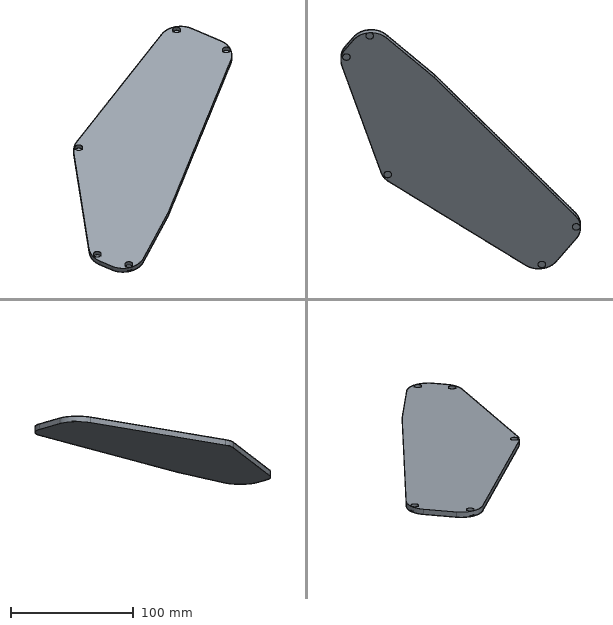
import cadquery as cq

length = 260.5
thickness = 4.7
corner_radius = 18.0

top_right_x = 59.6
left_corner_y = 98.7
bottom_left_x = 73.7
bottom_right_x = 114.8
kink_x = 103.6
kink_y = 74.7

hole_diameter = 6.2
hole_depth = 4.0
hole_centers = [(8.0, 252.8), (54.2, 254.0), (4.7, 100.0), (77.0, 5.5), (105.0, 8.5)]


def make_plate():
    """Six-sided plate, rounded everywhere except at the shallow kink on its right side."""
    corners = [
        (0, left_corner_y),
        (0, length),
        (top_right_x, length),
        (kink_x, kink_y),
        (bottom_right_x, 0),
        (bottom_left_x, 0),
    ]
    plate = cq.Workplane("XY").polyline(corners).close().extrude(thickness)
    kink_edge = cq.selectors.NearestToPointSelector((kink_x, kink_y, thickness / 2))
    upright_edges = cq.selectors.ParallelDirSelector(cq.Vector(0, 0, 1))
    rounded_edges = cq.selectors.SubtractSelector(upright_edges, kink_edge)
    return plate.edges(rounded_edges).fillet(corner_radius)


def make_holes():
    """Tools for the blind holes sunk from the top face."""
    floor = cq.Workplane("XY").workplane(offset=thickness - hole_depth)
    return floor.pushPoints(hole_centers).circle(hole_diameter / 2).extrude(hole_depth)


result = make_plate().cut(make_holes())